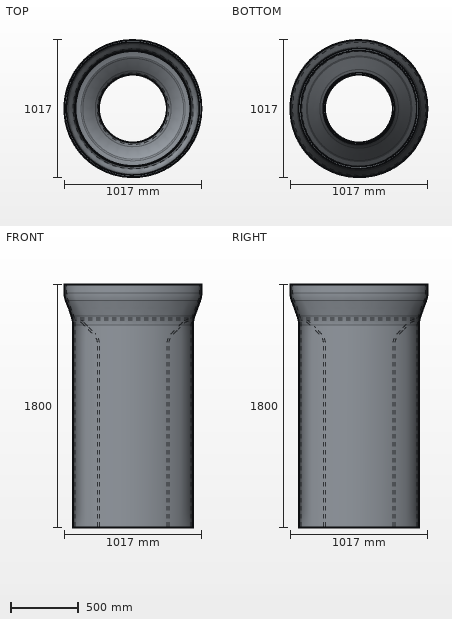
import cadquery as cq
import math

height = 1800.0
socket_diameter = 1017.0
socket_bore = 985.0
pipe_diameter = 890.0
pipe_bore = 859.0

socket_depth = 61.0
socket_slope = 20.0
upper_bend_radius = 164.0
lower_bend_radius = 196.0
wall = (socket_diameter - socket_bore) / 2

flange_depth = 263.0
flange_slope = 20.0
tube_diameter = 530.0
tube_bore = 500.0
cone_slope = 45.0
cone_mouth_radius = 385.0
flange_bend_radius = 32.0
throat_bend_radius = 105.0
funnel_wall = (tube_diameter - tube_bore) / 2


def arc_point(center, radius, degrees):
    """Point (r, z) on a circle in the profile plane."""
    angle = math.radians(degrees)
    return (center[0] + radius * math.cos(angle), center[1] + radius * math.sin(angle))


def socket_solid(top_radius, pipe_radius, upper_bend, lower_bend):
    """Solid of revolution bounded by one surface of the outer pipe."""
    slope = math.radians(socket_slope)
    upper_center = (top_radius - upper_bend, height - socket_depth)
    cone_start = arc_point(upper_center, upper_bend, -socket_slope)
    lower_inset = lower_bend * (1 - math.cos(slope))
    cone_end_radius = pipe_radius + lower_inset
    cone_end_z = cone_start[1] - (cone_start[0] - cone_end_radius) / math.tan(slope)
    lower_center = (pipe_radius + lower_bend, cone_end_z - lower_bend * math.sin(slope))
    return (
        cq.Workplane("XZ")
        .moveTo(0, 0)
        .lineTo(pipe_radius, 0)
        .lineTo(pipe_radius, lower_center[1])
        .threePointArc(
            arc_point(lower_center, lower_bend, 180 - socket_slope / 2),
            (cone_end_radius, cone_end_z),
        )
        .lineTo(*cone_start)
        .threePointArc(
            arc_point(upper_center, upper_bend, -socket_slope / 2),
            (top_radius, upper_center[1]),
        )
        .lineTo(top_radius, height)
        .lineTo(0, height)
        .close()
        .revolve(360, (0, 0), (0, 1))
    )


def make_outer_pipe():
    outside = socket_solid(
        socket_diameter / 2, pipe_diameter / 2, upper_bend_radius, lower_bend_radius
    )
    inside = socket_solid(
        socket_bore / 2, pipe_bore / 2, upper_bend_radius - wall, lower_bend_radius + wall
    )
    return outside.cut(inside)


def make_funnel():
    """Thin wall of revolution whose upper and lower faces share their bend centers."""
    slope = math.radians(cone_slope)
    flange_tilt = math.radians(flange_slope)
    flange_start = (cone_mouth_radius, height - flange_depth)
    tube_radius = tube_bore / 2

    flange_turn = 90 + flange_slope
    mouth_center = arc_point(flange_start, flange_bend_radius, flange_turn + 180)
    mouth_turn = 180 - cone_slope
    cone_start = arc_point(mouth_center, flange_bend_radius, mouth_turn)

    cone_end_radius = tube_radius + throat_bend_radius * (1 - math.cos(slope))
    cone_end_z = cone_start[1] - (cone_start[0] - cone_end_radius) / math.tan(slope)
    throat_center = (
        tube_radius + throat_bend_radius,
        cone_end_z - throat_bend_radius * math.sin(slope),
    )

    rim_top_radius = pipe_bore / 2 - funnel_wall * math.sin(flange_tilt)
    rim_top_z = flange_start[1] + (rim_top_radius - cone_mouth_radius) * math.tan(flange_tilt)
    rim_top = (rim_top_radius, rim_top_z)
    rim_bottom = arc_point(rim_top, funnel_wall, flange_turn + 180)

    mouth_mid = (flange_turn + mouth_turn) / 2
    throat_mid = (180 + mouth_turn) / 2
    under_mouth_bend = flange_bend_radius - funnel_wall
    under_throat_bend = throat_bend_radius - funnel_wall
    return (
        cq.Workplane("XZ")
        .moveTo(*rim_top)
        .lineTo(*flange_start)
        .threePointArc(arc_point(mouth_center, flange_bend_radius, mouth_mid), cone_start)
        .lineTo(cone_end_radius, cone_end_z)
        .threePointArc(
            arc_point(throat_center, throat_bend_radius, throat_mid),
            (tube_radius, throat_center[1]),
        )
        .lineTo(tube_radius, 0)
        .lineTo(tube_diameter / 2, 0)
        .lineTo(tube_diameter / 2, throat_center[1])
        .threePointArc(
            arc_point(throat_center, under_throat_bend, throat_mid),
            arc_point(throat_center, under_throat_bend, mouth_turn),
        )
        .lineTo(*arc_point(mouth_center, under_mouth_bend, mouth_turn))
        .threePointArc(
            arc_point(mouth_center, under_mouth_bend, mouth_mid),
            arc_point(mouth_center, under_mouth_bend, flange_turn),
        )
        .lineTo(*rim_bottom)
        .close()
        .revolve(360, (0, 0), (0, 1))
    )


outer_pipe = make_outer_pipe()
funnel = make_funnel()
result = cq.Compound.makeCompound([outer_pipe.val(), funnel.val()])